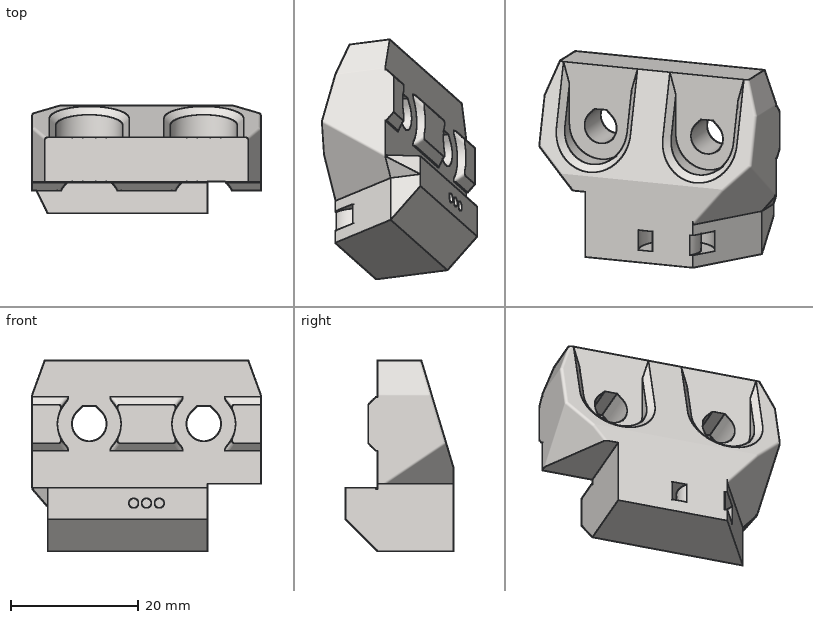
import cadquery as cq
import math

width = 36.0
height = 30.0
thickness = 12.0
top_thickness = 6.95
back_bend_z = 13.18
right_bottom_z = 10.6

corner_width = 1.98
corner_start_z = 24.55
wall_inset = 2.45
wall_angle = 30.0
wall_top_z = 7.0
flank_bottom_z = 9.83
edge_radius = 0.5

lip_reach = 5.0
lip_top_z = 10.0
groove_size = 0.2
lower_block_end_x = 27.6
dimple_diameter = 1.5
dimple_count = 3
dimple_pitch = 2.0
dimple_z = 7.55
dimple_depth = 0.5

hole_xs = (width / 4, width * 3 / 4)
hole_z = 20.0
hole_radius = 2.7
hole_flat_height = 2.8
head_slot_radius = 5.25
head_slot_chamfer = 1.0

rail_height = 8.5
rail_step = 0.2
rail_taper = 1.22
relief_radius = 5.0
rail_corner_radius = 0.5

strap_x = 13.0
strap_y = 9.75
strap_inner_radius = 3.85
strap_outer_radius = 6.0
strap_bottom_z = 2.0
strap_height = 3.25

margin = 0.35

middle_x = width / 2


def mirrored(shape):
    return shape.mirror("YZ", (middle_x, 0, 0))


def plate_blank():
    return (
        cq.Workplane("YZ")
        .polyline([
            (0, 0), (thickness, 0), (thickness, back_bend_z),
            (top_thickness, height), (0, height),
        ])
        .close()
        .extrude(width)
    )


def head_slot(hole_x):
    """U-shaped screw head clearance, open towards the top."""
    slot_top = height - hole_z + margin
    return (
        cq.Workplane("XZ", origin=(hole_x, top_thickness / 2, hole_z))
        .moveTo(-head_slot_radius, slot_top)
        .lineTo(-head_slot_radius, 0)
        .threePointArc((0, -head_slot_radius), (head_slot_radius, 0))
        .lineTo(head_slot_radius, slot_top)
        .close()
        .extrude(-thickness)
    )


def slotted_blank():
    """Plate blank whose head slots run out where the sloped back reaches the top."""
    body = plate_blank()
    for hole_x in hole_xs:
        body = body.cut(head_slot(hole_x))
    back_normal = cq.Vector(0, height - back_bend_z, thickness - top_thickness)
    inside_ends = cq.selectors.BoxSelector(
        (margin, 0, 0), (width - margin, thickness, height)
    )
    body = (
        body.faces(cq.selectors.ParallelDirSelector(back_normal))
        .edges("not(|X)")
        .edges(inside_ends)
        .chamfer(head_slot_chamfer)
    )
    front_slab = cq.Workplane("XY").box(width, top_thickness, height, centered=False)
    return body.union(front_slab)


def corner_cutter():
    return (
        cq.Workplane("XZ")
        .polyline([(0, corner_start_z), (corner_width, height), (0, height)])
        .close()
        .extrude(-thickness)
    )


def flank_cutter():
    """Space under the sloped flank and beside the angled lower wall, swept along that wall."""
    angle = math.radians(wall_angle)
    along_wall = cq.Vector(math.sin(angle), math.cos(angle), 0)
    away_from_wall = cq.Vector(-math.cos(angle), math.sin(angle), 0)
    slope_run = wall_inset * math.cos(angle)
    slope = (flank_bottom_z - wall_top_z) / slope_run
    reach = middle_x
    section = cq.Plane(origin=(wall_inset, 0, 0), xDir=away_from_wall, normal=along_wall)
    return (
        cq.Workplane(section)
        .polyline([
            (0, 0), (0, wall_top_z),
            (reach, (wall_top_z + slope * reach)), (reach, 0),
        ])
        .close()
        .extrude(width, both=True)
    )


def right_flank_cutter():
    above_notch = cq.Workplane("XY").box(width, thickness, height, centered=False)
    return mirrored(flank_cutter()).intersect(above_notch.translate((0, 0, right_bottom_z)))


def right_notch():
    return (
        cq.Workplane("XY")
        .box(width - lower_block_end_x, thickness, right_bottom_z, centered=False)
        .translate((lower_block_end_x, 0, 0))
    )


def plate():
    body = plate_blank()
    for cutter in (
        corner_cutter(), mirrored(corner_cutter()),
        flank_cutter(), right_flank_cutter(), right_notch(),
    ):
        body = body.cut(cutter)
    band = width / 5
    for start_x, lowest_z in ((0, flank_bottom_z), (width - band, right_bottom_z)):
        flank_edges = cq.selectors.BoxSelector(
            (start_x - margin, margin, lowest_z + margin / 2),
            (start_x + band + margin, thickness + margin, height - margin),
        )
        body = body.edges(flank_edges).fillet(edge_radius)
    head_pockets = plate_blank().cut(slotted_blank())
    return body.cut(head_pockets)


def lip():
    slab = (
        cq.Workplane("YZ")
        .polyline([(0, 0), (-lip_reach, lip_reach), (-lip_reach, lip_top_z), (0, lip_top_z)])
        .close()
        .extrude(lower_block_end_x)
    )
    end_wall_cutter = (
        cq.Workplane("XY")
        .polyline([(0, 0), (wall_inset, -lip_reach), (0, -lip_reach)])
        .close()
        .extrude(lip_top_z)
    )
    underside_cutter = (
        cq.Workplane("XZ")
        .polyline([(0, 0), (wall_inset, 0), (wall_inset, wall_top_z), (0, flank_bottom_z)])
        .close()
        .extrude(lip_reach)
    )
    relief_groove = (
        cq.Workplane("XY", origin=(0, -groove_size, lip_top_z - groove_size))
        .box(lower_block_end_x, groove_size, groove_size, centered=False)
    )
    return slab.cut(relief_groove).cut(end_wall_cutter).cut(underside_cutter)


def dimples():
    return (
        cq.Workplane("XZ", origin=(middle_x, -lip_reach, dimple_z))
        .rarray(dimple_pitch, 0.35, dimple_count, 1)
        .circle(dimple_diameter / 2)
        .extrude(-dimple_depth)
    )


def rail():
    half_base = rail_height / 2
    half_crest = half_base - rail_taper
    crest_y = -(rail_step + rail_taper)
    body = (
        cq.Workplane("YZ", origin=(0, 0, hole_z))
        .polyline([
            (0, -half_base), (-rail_step, -half_base), (crest_y, -half_crest),
            (crest_y, half_crest), (-rail_step, half_base), (0, half_base),
        ])
        .close()
        .extrude(width)
    )
    relief = (
        cq.Workplane("XZ")
        .pushPoints([(x, hole_z) for x in hole_xs])
        .circle(relief_radius)
        .extrude(-crest_y)
    )
    body = body.cut(relief)
    return body.edges("%ELLIPSE").fillet(rail_corner_radius)


def screw_hole(hole_x):
    """Round hole with a 45 degree peaked roof cut flat."""
    shoulder = hole_radius * math.sqrt(0.5)
    flat_half_width = hole_radius * math.sqrt(2) - hole_flat_height
    return (
        cq.Workplane("XZ", origin=(hole_x, 0, hole_z))
        .moveTo(-shoulder, shoulder)
        .threePointArc((0, -hole_radius), (shoulder, shoulder))
        .lineTo(flat_half_width, hole_flat_height)
        .lineTo(-flat_half_width, hole_flat_height)
        .close()
        .extrude(-thickness)
    )


def strap_channel():
    return (
        cq.Workplane("XY", origin=(strap_x, strap_y, strap_bottom_z))
        .circle(strap_outer_radius)
        .circle(strap_inner_radius)
        .extrude(strap_height)
    )


result = plate()
for hole_x in hole_xs:
    result = result.cut(screw_hole(hole_x))
result = result.cut(strap_channel())
result = result.union(rail()).union(lip()).cut(dimples())